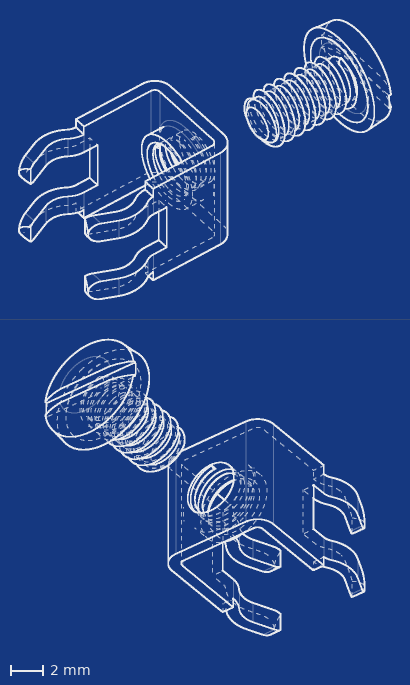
import cadquery as cq
import math

THREAD_PITCH = 0.8
THREAD_BASE_WIDTH = 0.39
RIDGE_OVERLAP = 0.07
SEAM_ANGLE = 37

SCREW_TOP_Y = 12.1
HEAD_HEIGHT = 1.89
HEAD_BASE_RADIUS = 3.58
RIM_RADIUS = 3.45
CROWN_HEIGHT = 0.45
CROWN_FLAT_RADIUS = 2.0
CROWN_BULGE = 0.05
DRIVE_SLOT_WIDTH = 1.06
DRIVE_SLOT_DEPTH = 0.63
RECESS_OUTER_RADIUS = 2.9
RECESS_FLOOR_RADIUS = 2.42
RECESS_DEPTH = 0.3
SHANK_RADIUS = 1.48
SHANK_LENGTH = 6.4
TIP_CHAMFER = 0.36
SCREW_CREST_RADIUS = 1.86
SCREW_THREAD_TURNS = 7.9
SCREW_THREAD_START = 0.12

HEAD_UNDERSIDE_Y = SCREW_TOP_Y - HEAD_HEIGHT
RECESS_FLOOR_Y = HEAD_UNDERSIDE_Y + RECESS_DEPTH
SHANK_TIP_Y = HEAD_UNDERSIDE_Y - SHANK_LENGTH

CLIP_BACK_Y = -0.9
CLIP_TIP_Y = -12.1
CLIP_WIDTH = 7.85
LEGS_WIDTH = 9.05
CLIP_HEIGHT = 7.86
SHEET = 0.82
BEND_RADIUS = 1.2
WALL_LENGTH = 6.44
LEG_SLOT_START = 5.37
LEG_WIDTH = 1.52
LEG_SPACING = 4.95
FLARE_RADIUS = 1.0
BULGE_RADIUS = 2.5
TOE_ANGLE = math.radians(24)

BOSS_RADIUS = 2.57
BOSS_END = 2.35
BOSS_FILLET = 0.27
BORE_RADIUS = 1.8
BORE_CREST_RADIUS = 1.6
BORE_CHAMFER_RADIUS = 2.0
BORE_CHAMFER_DEPTH = 0.3
BORE_THREAD_START = 0.3
BORE_THREAD_TURNS = 1.8

HALF_WIDTH = CLIP_WIDTH / 2
BULGE_HEIGHT = (LEGS_WIDTH - CLIP_WIDTH) / 2
FLARE_ANGLE = math.acos(1 - BULGE_HEIGHT / (FLARE_RADIUS + BULGE_RADIUS))
PLATE_FRONT_Y = CLIP_BACK_Y - SHEET
WALL_END_Y = CLIP_BACK_Y - WALL_LENGTH
BOSS_END_Y = CLIP_BACK_Y - BOSS_END


def revolve_about_y(outline):
    """Revolve a (radius, y) outline about the Y axis, with the seam turned clear of the thread ends."""
    turned = outline.close().revolve(360, (0, 0, 0), (0, 1, 0))
    return turned.rotate((0, 0, 0), (0, 1, 0), SEAM_ANGLE)


def thread_ridge(foot_radius, crest_radius, start_y, turns):
    """Triangular left-handed ridge that runs toward -Y from a start on the +Z side."""
    ridge_height = abs(crest_radius - foot_radius)
    sink = RIDGE_OVERLAP if crest_radius < foot_radius else -RIDGE_OVERLAP
    root_radius = foot_radius + sink
    half_root = THREAD_BASE_WIDTH / 2 * (1 + RIDGE_OVERLAP / ridge_height)
    helix = cq.Wire.makeHelix(THREAD_PITCH, THREAD_PITCH * turns, foot_radius, lefthand=True)
    profile = cq.Workplane("XZ").polyline(
        [(root_radius, -half_root), (crest_radius, 0), (root_radius, half_root)]
    ).close()
    ridge = profile.sweep(cq.Workplane(helix), isFrenet=True)
    ridge = ridge.rotate((0, 0, 0), (0, 0, 1), 90).rotate((0, 0, 0), (1, 0, 0), 90)
    return ridge.translate((0, start_y, 0))


def screw_blank():
    rim_y = SCREW_TOP_Y - CROWN_HEIGHT
    crown_middle = (
        (CROWN_FLAT_RADIUS + RIM_RADIUS) / 2 + CROWN_BULGE,
        SCREW_TOP_Y - CROWN_HEIGHT / 2 + CROWN_BULGE,
    )
    recess_wall_width = RECESS_OUTER_RADIUS - RECESS_FLOOR_RADIUS
    wall_radius = (recess_wall_width**2 + RECESS_DEPTH**2) / (2 * RECESS_DEPTH)
    half_sweep = math.asin(recess_wall_width / wall_radius) / 2
    recess_wall_middle = (
        RECESS_FLOOR_RADIUS + wall_radius * math.sin(half_sweep),
        RECESS_FLOOR_Y - wall_radius * (1 - math.cos(half_sweep)),
    )
    return revolve_about_y(
        cq.Workplane("XY")
        .moveTo(0, SCREW_TOP_Y)
        .lineTo(CROWN_FLAT_RADIUS, SCREW_TOP_Y)
        .threePointArc(crown_middle, (RIM_RADIUS, rim_y))
        .lineTo(HEAD_BASE_RADIUS, HEAD_UNDERSIDE_Y)
        .lineTo(RECESS_OUTER_RADIUS, HEAD_UNDERSIDE_Y)
        .threePointArc(recess_wall_middle, (RECESS_FLOOR_RADIUS, RECESS_FLOOR_Y))
        .lineTo(SHANK_RADIUS, RECESS_FLOOR_Y)
        .lineTo(SHANK_RADIUS, SHANK_TIP_Y)
        .lineTo(0, SHANK_TIP_Y)
    )


def drive_slot():
    return cq.Workplane("XY").box(
        2 * HEAD_BASE_RADIUS, 2 * DRIVE_SLOT_DEPTH, DRIVE_SLOT_WIDTH
    ).translate((0, SCREW_TOP_Y, 0))


def tip_chamfer():
    """Ring that bevels the shank tip and cuts the thread off flush with the start of the bevel."""
    clear_radius = SCREW_CREST_RADIUS + TIP_CHAMFER
    bevel_y = SHANK_TIP_Y + TIP_CHAMFER
    return revolve_about_y(
        cq.Workplane("XY")
        .moveTo(SHANK_RADIUS, bevel_y)
        .lineTo(clear_radius, bevel_y)
        .lineTo(clear_radius, SHANK_TIP_Y - TIP_CHAMFER)
        .lineTo(SHANK_RADIUS - 2 * TIP_CHAMFER, SHANK_TIP_Y - TIP_CHAMFER)
    )


def make_screw():
    thread = thread_ridge(
        SHANK_RADIUS, SCREW_CREST_RADIUS, HEAD_UNDERSIDE_Y + SCREW_THREAD_START, SCREW_THREAD_TURNS
    )
    return screw_blank().cut(drive_slot()).union(thread).cut(tip_chamfer())


def polar(center, radius, angle):
    return (center[0] + radius * math.cos(angle), center[1] + radius * math.sin(angle))


def half_strip():
    """Bent strip on the +X side, from the middle of the back plate to the leg tip, full height."""
    corner = (HALF_WIDTH - BEND_RADIUS, CLIP_BACK_Y - BEND_RADIUS)
    flare = (HALF_WIDTH + FLARE_RADIUS, WALL_END_Y)
    bulge = polar(flare, -(FLARE_RADIUS + BULGE_RADIUS), FLARE_ANGLE)
    inner_bend = BEND_RADIUS - SHEET
    inner_flare = FLARE_RADIUS + SHEET
    inner_bulge = BULGE_RADIUS - SHEET

    toe_start = polar(bulge, BULGE_RADIUS, -TOE_ANGLE)
    toe_length = (toe_start[1] - CLIP_TIP_Y) / math.cos(TOE_ANGLE)
    outer_tip = (toe_start[0] - toe_length * math.sin(TOE_ANGLE), CLIP_TIP_Y)
    inner_tip = polar(outer_tip, -SHEET, -TOE_ANGLE)

    flare_end = math.pi + FLARE_ANGLE
    flare_middle = math.pi + FLARE_ANGLE / 2
    bulge_middle = (FLARE_ANGLE - TOE_ANGLE) / 2
    diagonal = math.pi / 4
    return (
        cq.Workplane("XY")
        .moveTo(0, CLIP_BACK_Y)
        .lineTo(corner[0], CLIP_BACK_Y)
        .threePointArc(polar(corner, BEND_RADIUS, diagonal), (HALF_WIDTH, corner[1]))
        .lineTo(HALF_WIDTH, WALL_END_Y)
        .threePointArc(polar(flare, FLARE_RADIUS, flare_middle), polar(flare, FLARE_RADIUS, flare_end))
        .threePointArc(polar(bulge, BULGE_RADIUS, bulge_middle), toe_start)
        .lineTo(*outer_tip)
        .lineTo(*inner_tip)
        .lineTo(*polar(bulge, inner_bulge, -TOE_ANGLE))
        .threePointArc(polar(bulge, inner_bulge, bulge_middle), polar(bulge, inner_bulge, FLARE_ANGLE))
        .threePointArc(polar(flare, inner_flare, flare_middle), (HALF_WIDTH - SHEET, WALL_END_Y))
        .lineTo(HALF_WIDTH - SHEET, corner[1])
        .threePointArc(polar(corner, inner_bend, diagonal), (corner[0], PLATE_FRONT_Y))
        .lineTo(0, PLATE_FRONT_Y)
        .close()
        .extrude(CLIP_HEIGHT / 2, both=True)
    )


def side_outline():
    """Side shape of the walls and their round-ended legs, as a block running across X."""
    reach = 2 * CLIP_WIDTH

    def block(y_from, y_to, height):
        return cq.Workplane("XY").box(reach, y_from - y_to, height).translate((0, (y_from + y_to) / 2, 0))

    slot_floor_y = CLIP_BACK_Y - LEG_SLOT_START
    leg_round = LEG_WIDTH / 2
    round_center_y = CLIP_TIP_Y + leg_round
    outline = block(CLIP_BACK_Y, WALL_END_Y, CLIP_HEIGHT)
    outline = outline.cut(block(slot_floor_y, CLIP_TIP_Y, LEG_SPACING - LEG_WIDTH))
    for z in (-LEG_SPACING / 2, LEG_SPACING / 2):
        leg = block(slot_floor_y, round_center_y, LEG_WIDTH)
        leg_end = cq.Workplane("YZ").center(round_center_y, 0).circle(leg_round).extrude(reach / 2, both=True)
        outline = outline.union(leg.union(leg_end).translate((0, 0, z)))
    return outline


def boss():
    fillet_middle = (
        BOSS_RADIUS + BOSS_FILLET * (1 - math.cos(math.pi / 4)),
        PLATE_FRONT_Y - BOSS_FILLET * (1 - math.sin(math.pi / 4)),
    )
    return revolve_about_y(
        cq.Workplane("XY")
        .moveTo(0, CLIP_BACK_Y)
        .lineTo(BOSS_RADIUS, CLIP_BACK_Y)
        .lineTo(BOSS_RADIUS + BOSS_FILLET, PLATE_FRONT_Y)
        .threePointArc(fillet_middle, (BOSS_RADIUS, PLATE_FRONT_Y - BOSS_FILLET))
        .lineTo(BOSS_RADIUS, BOSS_END_Y)
        .lineTo(0, BOSS_END_Y)
    )


def bore():
    return revolve_about_y(
        cq.Workplane("XY")
        .moveTo(0, CLIP_BACK_Y)
        .lineTo(BORE_RADIUS, CLIP_BACK_Y)
        .lineTo(BORE_RADIUS, BOSS_END_Y + BORE_CHAMFER_DEPTH)
        .lineTo(BORE_CHAMFER_RADIUS, BOSS_END_Y)
        .lineTo(0, BOSS_END_Y)
    )


def bore_thread():
    """Ridge that winds inside the bore between the back face and the chamfer."""
    return thread_ridge(
        BORE_RADIUS, BORE_CREST_RADIUS, CLIP_BACK_Y - BORE_THREAD_START, BORE_THREAD_TURNS
    )


def make_clip():
    strip = half_strip()
    strip = strip.union(strip.mirror("YZ")).intersect(side_outline())
    return strip.union(boss()).cut(bore()).union(bore_thread())


screw = make_screw().solids()
clip = make_clip().solids()
result = cq.Compound.makeCompound([screw.val(), clip.val()])